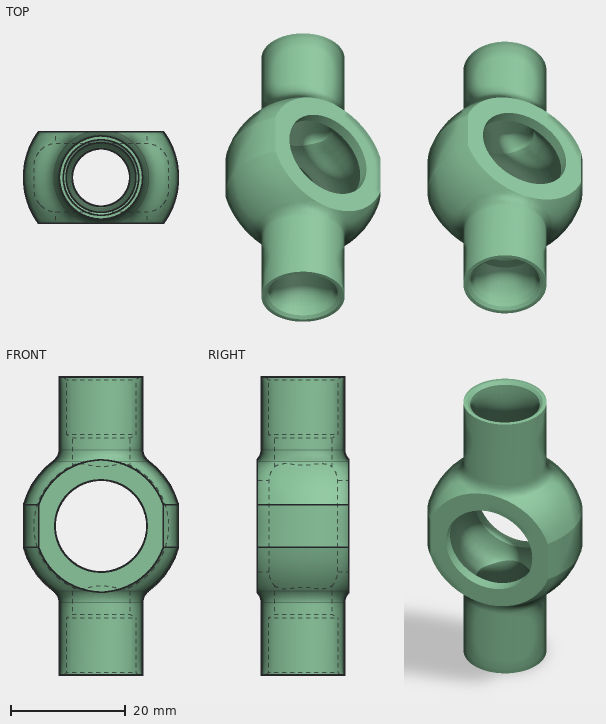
import cadquery as cq
import math

ball_radius = 14.0
waist_diameter = 27.0
body_depth = 16.0

overall_height = 52.0
tube_diameter = 14.5
neck_fillet = 2.5

port_diameter = 10.0
socket_diameter = 12.15
socket_depth = 10.0
seat_angle = 118.0
mouth_chamfer = 0.5

cross_hole_diameter = 16.0
chamber_diameter = 23.5
chamber_width = 12.0
chamber_fillet = 4.0

half_height = overall_height / 2


def revolve_about_z(profile):
    """Full turn of a closed XZ profile about the Z axis."""
    return profile.revolve(360, (0, 0, 0), (0, 1, 0))


def make_outside():
    """Ball, necks and tube stubs, with the ball trimmed to its waist and flats."""
    tube_radius = tube_diameter / 2

    neck_x = tube_radius + neck_fillet
    neck_z = math.sqrt((ball_radius + neck_fillet) ** 2 - neck_x**2)
    touch_ratio = ball_radius / (ball_radius + neck_fillet)
    touch_x = neck_x * touch_ratio
    touch_z = neck_z * touch_ratio

    middle_angle = math.pi + math.atan2(neck_z, neck_x) / 2
    middle_x = neck_x + neck_fillet * math.cos(middle_angle)
    middle_z = neck_z + neck_fillet * math.sin(middle_angle)

    turned = revolve_about_z(
        cq.Workplane("XZ")
        .moveTo(0, -half_height)
        .lineTo(tube_radius, -half_height)
        .lineTo(tube_radius, -neck_z)
        .threePointArc((middle_x, -middle_z), (touch_x, -touch_z))
        .threePointArc((ball_radius, 0), (touch_x, touch_z))
        .threePointArc((middle_x, middle_z), (tube_radius, neck_z))
        .lineTo(tube_radius, half_height)
        .lineTo(0, half_height)
        .close()
    )
    waist = cq.Workplane("XY").circle(waist_diameter / 2).extrude(half_height, both=True)
    flats = cq.Workplane("XY").box(waist_diameter, body_depth, overall_height)
    return turned.intersect(waist.intersect(flats))


def make_bore():
    """Stepped bore along Z, the same at both ends."""
    port_radius = port_diameter / 2
    socket_radius = socket_diameter / 2
    seat_top = half_height - socket_depth
    seat_height = (socket_radius - port_radius) / math.tan(math.radians(seat_angle / 2))
    upper_half = revolve_about_z(
        cq.Workplane("XZ")
        .lineTo(port_radius, 0)
        .lineTo(port_radius, seat_top - seat_height)
        .lineTo(socket_radius, seat_top)
        .lineTo(socket_radius, half_height - mouth_chamfer)
        .lineTo(socket_radius + mouth_chamfer, half_height)
        .lineTo(0, half_height)
        .close()
    )
    return upper_half.union(upper_half.mirror("XY"))


def disc_along_y(diameter, width):
    """Cylinder along Y, centred on the origin."""
    return cq.Workplane("XZ").circle(diameter / 2).extrude(width / 2, both=True)


def make_chamber():
    """Cross hole along Y with the wider chamber inside the ball."""
    cross_hole = disc_along_y(cross_hole_diameter, body_depth)
    chamber = disc_along_y(chamber_diameter, chamber_width).faces("<Y or >Y").edges().fillet(chamber_fillet)
    return cross_hole.union(chamber)


result = make_outside().cut(make_bore()).cut(make_chamber())